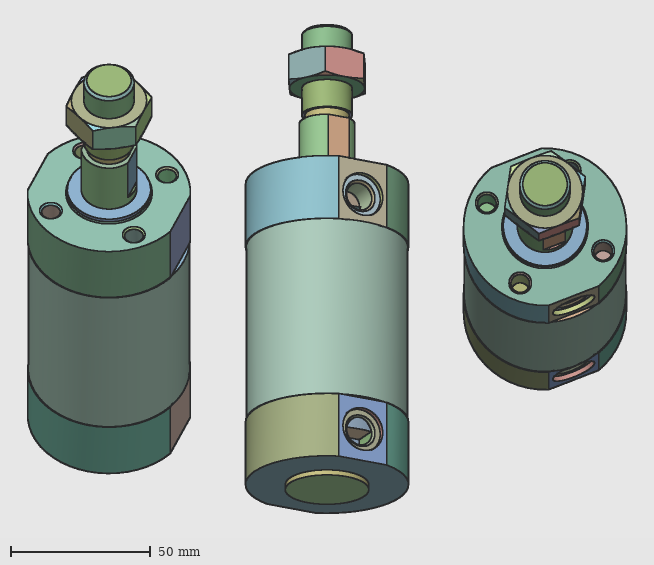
import cadquery as cq
import math

TUBE_DIA = 58.0
TUBE_LENGTH = 67.0
COVER_DIA = 58.5
COVER_FLAT_WIDTH = 55.1
COVER_HEIGHT = 24.0
SPIGOT_DIA = 30.0
SPIGOT_HEIGHT = 2.0
FLARE_SIZE = 0.5

COVER_BOTTOM = SPIGOT_HEIGHT
TUBE_BOTTOM = COVER_BOTTOM + COVER_HEIGHT
TUBE_TOP = TUBE_BOTTOM + TUBE_LENGTH
COVER_TOP = TUBE_TOP + COVER_HEIGHT
HOUSING_TOP = COVER_TOP + SPIGOT_HEIGHT

BORE_DIA = 50.0
BORE_BOTTOM = 14.9
BORE_TOP = TUBE_TOP
RECESS_DIA = 33.2
RECESS_TOP = 104.0

PORT_HEIGHTS = (14.0, RECESS_TOP)
PORT_DIA = 10.2
PORT_DEPTH = 12.2
PORT_MOUTH_DIA = 11.9
PORT_SEAT_DIA = 16.1
PORT_SEAT_DEPTH = 2.0

MOUNT_PITCH = 32.0
MOUNT_DIA = 6.6
MOUNT_MOUTH_DIA = 8.0
MOUNT_DEPTH = 12.0

TOTAL_LENGTH = 175.0
ROD_DIA = 20.0
ROD_FLAT_WIDTH = 18.0
ROD_FLAT_BOTTOM = 122.2
THREAD_DIA = 18.0
THREAD_LENGTH = 35.0
THREAD_END_CHAMFER = 1.0
GROOVE_DIA = 16.0
GROOVE_HEIGHT = 3.3
PISTON_HEIGHT = 14.0
NUT_FLAT_WIDTH = 27.0
NUT_BOTTOM = 153.6
NUT_HEIGHT = 11.0
NUT_SIDES = 6
NUT_CHAMFER_ANGLE = 20.0

ROD_SHOULDER = TOTAL_LENGTH - THREAD_LENGTH
GROOVE_TOP = ROD_SHOULDER + GROOVE_HEIGHT


def cylinder(diameter, bottom, top):
    """Round bar on the Z axis between two heights."""
    return cq.Workplane("XY", origin=(0, 0, bottom)).circle(diameter / 2).extrude(top - bottom)


def cone(bottom_dia, top_dia, bottom, top):
    """Tapered round bar on the Z axis between two heights."""
    base = cq.Vector(0, 0, bottom)
    return cq.Workplane(cq.Solid.makeCone(bottom_dia / 2, top_dia / 2, top - bottom, base))


def flatted_bar(diameter, flat_width, bottom, top):
    """Round bar on the Z axis with two opposite flats facing -X and +X."""
    bar = cylinder(diameter, bottom, top)
    slab = cq.Workplane("XY", origin=(0, 0, bottom)).rect(flat_width, diameter).extrude(top - bottom)
    return bar.intersect(slab)


def port_cutter(height):
    """Stepped port along X: seat, chamfered mouth and blind round hole."""
    face_x = -COVER_FLAT_WIDTH / 2
    seat_x = face_x + PORT_SEAT_DEPTH
    end_x = face_x + PORT_DEPTH
    mouth_chamfer = (PORT_MOUTH_DIA - PORT_DIA) / 2
    profile = [
        (face_x, 0),
        (face_x, PORT_SEAT_DIA / 2),
        (seat_x, PORT_SEAT_DIA / 2),
        (seat_x, PORT_MOUTH_DIA / 2),
        (seat_x + mouth_chamfer, PORT_DIA / 2),
        (end_x, PORT_DIA / 2),
        (end_x, 0),
    ]
    cutter = cq.Workplane("XY").polyline(profile).close().revolve(360, (0, 0, 0), (1, 0, 0))
    return cutter.translate((0, 0, height))


def mounting_hole_cutter(x, y):
    """Blind hole with a 45 degree chamfered mouth in the upper cover face."""
    mouth_chamfer = (MOUNT_MOUTH_DIA - MOUNT_DIA) / 2
    hole = cylinder(MOUNT_DIA, COVER_TOP - MOUNT_DEPTH, COVER_TOP)
    mouth = cone(MOUNT_DIA, MOUNT_MOUTH_DIA, COVER_TOP - mouth_chamfer, COVER_TOP)
    return hole.union(mouth).translate((x, y, 0))


def make_housing():
    body = cylinder(SPIGOT_DIA, 0, HOUSING_TOP)
    body = body.union(cylinder(TUBE_DIA, TUBE_BOTTOM, TUBE_TOP))
    for bottom in (COVER_BOTTOM, TUBE_TOP):
        body = body.union(flatted_bar(COVER_DIA, COVER_FLAT_WIDTH, bottom, bottom + COVER_HEIGHT))
    body = body.union(cone(SPIGOT_DIA + 2 * FLARE_SIZE, SPIGOT_DIA, COVER_TOP, COVER_TOP + FLARE_SIZE))

    body = body.cut(cylinder(BORE_DIA, BORE_BOTTOM, BORE_TOP))
    body = body.cut(cylinder(RECESS_DIA, BORE_TOP, RECESS_TOP))
    body = body.cut(cylinder(ROD_DIA, RECESS_TOP, HOUSING_TOP))

    for height in PORT_HEIGHTS:
        body = body.cut(port_cutter(height))

    for x in (-MOUNT_PITCH / 2, MOUNT_PITCH / 2):
        for y in (-MOUNT_PITCH / 2, MOUNT_PITCH / 2):
            body = body.cut(mounting_hole_cutter(x, y))
    return body


def make_nut():
    """Hexagon with two corners on the Y axis, both ends chamfered down to a circle."""
    flat_radius = NUT_FLAT_WIDTH / 2
    corner_radius = flat_radius / math.cos(math.pi / NUT_SIDES)
    corner_drop = (corner_radius - flat_radius) * math.tan(math.radians(NUT_CHAMFER_ANGLE))
    nut_top = NUT_BOTTOM + NUT_HEIGHT
    hexagon = (
        cq.Workplane("XY", origin=(0, 0, NUT_BOTTOM))
        .polygon(NUT_SIDES, 2 * corner_radius).extrude(NUT_HEIGHT)
        .rotate((0, 0, 0), (0, 0, 1), 90)
    )
    chamfered_round = (
        cq.Workplane("XZ")
        .polyline([
            (0, NUT_BOTTOM),
            (flat_radius, NUT_BOTTOM),
            (corner_radius, NUT_BOTTOM + corner_drop),
            (corner_radius, nut_top - corner_drop),
            (flat_radius, nut_top),
            (0, nut_top),
        ])
        .close().revolve(360, (0, 0, 0), (0, 1, 0))
    )
    return hexagon.intersect(chamfered_round)


def make_rod():
    """Piston, rod with spanner flats, groove, threaded end and nut as one body."""
    piston = cylinder(BORE_DIA, BORE_BOTTOM, BORE_BOTTOM + PISTON_HEIGHT)
    shank = cylinder(ROD_DIA, BORE_BOTTOM, ROD_FLAT_BOTTOM)
    flats = flatted_bar(ROD_DIA, ROD_FLAT_WIDTH, ROD_FLAT_BOTTOM, ROD_SHOULDER)
    groove = cylinder(GROOVE_DIA, ROD_SHOULDER, GROOVE_TOP)
    thread = cylinder(THREAD_DIA, GROOVE_TOP, TOTAL_LENGTH).faces(">Z").chamfer(THREAD_END_CHAMFER)
    return piston.union(shank).union(flats).union(groove).union(thread).union(make_nut())


housing = make_housing()
rod = make_rod()

result = cq.Compound.makeCompound([housing.solids().val(), rod.solids().val()])